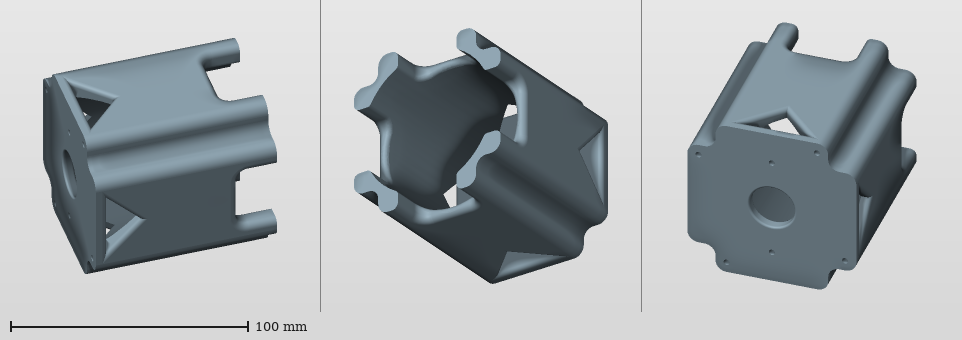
import cadquery as cq
import math

length = 80.0
width = 75.0
corner_step = 12.5
corner_radius = 5.0
cavity_diameter = 66.0
front_wall = 5.0

half_width = width / 2
cavity_radius = cavity_diameter / 2
arm_half_width = half_width - corner_step
front_y = -length / 2
back_y = length / 2
floor_y = front_y + front_wall

shaft_diameter = 20.0
shaft_rounding = 1.0

screw_diameter = 2.7
screw_offset = 23.0
boss_diameter = 7.0
boss_height = 2.0

pilot_diameter = 2.7
pilot_depth = 10.0

cutout_width = 30.0
cutout_depth = 17.5
cutout_corner_radius = 5.0
cutout_rounding = 3.0
cutout_inner_rounding = 2.0

window_base = cutout_width
window_height = window_base / 2
window_rounding = 2.0

select_margin = 0.1


def plane_at(y):
    """Workplane across the body at the given Y, with local axes X and Z, extruding toward -Y."""
    return cq.Workplane("XZ", origin=(0, y, 0))


def make_prism():
    prism = plane_at(back_y).rect(width, width).extrude(length)
    step_spacing = width - corner_step
    steps = (
        plane_at(back_y)
        .rect(step_spacing, step_spacing, forConstruction=True)
        .vertices()
        .rect(corner_step, corner_step)
        .extrude(length)
    )
    return prism.cut(steps).edges("|Y").fillet(corner_radius)


def make_cutout():
    """Solid removed from the top wall at the open end, reaching down to the axis."""
    return (
        cq.Workplane("XY")
        .center(0, back_y - cutout_depth / 2)
        .rect(cutout_width, cutout_depth)
        .extrude(half_width)
        .edges("|Z and <Y")
        .fillet(cutout_corner_radius)
    )


def make_window():
    """Solid removed from the top wall next to the front wall, reaching down to the axis."""
    return (
        cq.Workplane("XY")
        .moveTo(-window_base / 2, floor_y)
        .lineTo(window_base / 2, floor_y)
        .lineTo(0, floor_y + window_height)
        .close()
        .extrude(half_width)
    )


def rim_on_top(opening):
    """Selector for the edges that an opening leaves on the top face."""
    box = opening.val().BoundingBox()
    return cq.selectors.BoxSelector(
        (box.xmin - select_margin, box.ymin - select_margin, half_width - select_margin),
        (box.xmax + select_margin, box.ymax + select_margin, half_width + select_margin),
    )


def turn_quarter(body):
    """Turn the body about its axis so that the next wall comes to the top."""
    return body.rotate((0, 0, 0), (0, 1, 0), 90)


def open_walls(body):
    """Cut and round both openings in each wall in turn."""
    openings = ((make_cutout(), cutout_rounding), (make_window(), window_rounding))
    for _ in range(4):
        for opening, rounding in openings:
            body = body.cut(opening).edges(rim_on_top(opening)).fillet(rounding)
        body = turn_quarter(body)
    return body


def make_cavity():
    return plane_at(back_y).circle(cavity_radius).extrude(length - front_wall)


def round_inner_rims(body):
    """Round the edges where each cutout breaks into the cavity."""
    half_cutout = cutout_width / 2
    rim_low_z = math.sqrt(cavity_radius**2 - half_cutout**2)
    inner_rim = cq.selectors.BoxSelector(
        (-half_cutout - select_margin, back_y - cutout_depth - select_margin, rim_low_z - select_margin),
        (half_cutout + select_margin, back_y - select_margin, cavity_radius + select_margin),
    )
    for _ in range(4):
        body = body.edges(inner_rim).edges("not |Z").fillet(cutout_inner_rounding)
        body = turn_quarter(body)
    return body


def make_boss():
    """Boss on the cavity floor at the shaft axis, with its foot sunk to the middle of the wall."""
    top_radius = boss_diameter / 2
    foot_radius = top_radius + boss_height
    foot_y = floor_y - front_wall / 2
    return (
        cq.Workplane("XY")
        .moveTo(0, foot_y)
        .lineTo(foot_radius, foot_y)
        .lineTo(foot_radius, floor_y)
        .radiusArc((top_radius, floor_y + boss_height), boss_height)
        .lineTo(0, floor_y + boss_height)
        .close()
        .revolve(360, (0, 0, 0), (0, 1, 0))
    )


def make_shaft_hole():
    """Shaft bore that flares out in a quarter round at both faces of the front wall."""
    bore_radius = shaft_diameter / 2
    mouth_radius = bore_radius + shaft_rounding
    return (
        cq.Workplane("XY")
        .moveTo(0, front_y)
        .lineTo(mouth_radius, front_y)
        .radiusArc((bore_radius, front_y + shaft_rounding), shaft_rounding)
        .lineTo(bore_radius, floor_y - shaft_rounding)
        .radiusArc((mouth_radius, floor_y), shaft_rounding)
        .lineTo(0, floor_y)
        .close()
        .revolve(360, (0, 0, 0), (0, 1, 0))
    )


def make_screw_holes():
    depth = front_wall + boss_height
    centers = [(0, screw_offset), (0, -screw_offset)]
    return plane_at(front_y + depth).pushPoints(centers).circle(screw_diameter / 2).extrude(depth)


def make_pilot_holes():
    across = arm_half_width - corner_radius
    outward = half_width - corner_radius
    centers = [(across, outward), (outward, -across), (-across, -outward), (-outward, across)]
    holes = plane_at(front_y + pilot_depth).pushPoints(centers)
    return holes.circle(pilot_diameter / 2).extrude(pilot_depth)


housing = round_inner_rims(open_walls(make_prism()).cut(make_cavity()))
for side in (-1, 1):
    housing = housing.union(make_boss().translate((0, 0, side * screw_offset)))
for hole in (make_shaft_hole(), make_screw_holes(), make_pilot_holes()):
    housing = housing.cut(hole)
result = housing.solids()